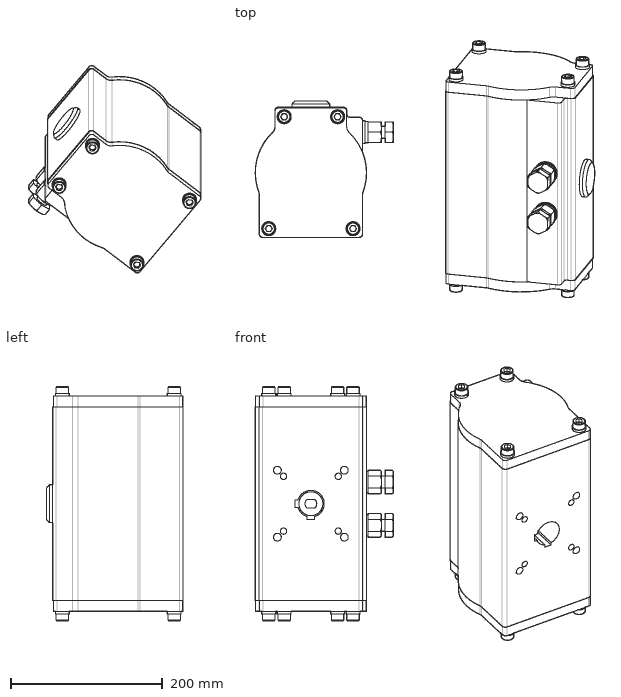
import cadquery as cq
import math


barrel_radius = 73.5
base_half_width = 68.3
base_y = -85.5
neck_half_width = 47.5
cap_top_y = 85.5
case_top_y = 86.5
cap_inset = 0.3
corner_radius = 4.5
neck_blend_radius = 10.2
base_blend_radius = 7.7

total_length = 308.8
capped_length = 284.0
cap_thickness = 14.2
case_length = capped_length - 2 * cap_thickness

ridge_top_y = 73.2
ridge_corner_radius = 4.3
ridge_blend_radius = 3.7

upper_screw_x = 35.2
lower_screw_x = 55.5
screw_y = 73.8
washer_radius = 9.3
washer_thickness = 3.5
screw_head_radius = 8.3
screw_head_height = (total_length - capped_length) / 2
screw_head_chamfer = 1.0
socket_across_corners = 9.3
socket_depth = 5.0
socket_cone_depth = 2.5

gland_spacing = 57.0
gland_y = 53.5
gland_flange_radius = 15.0
gland_collar_radius = 14.2
gland_neck_radius = 8.0
gland_across_flats = 27.2
gland_across_corners = gland_across_flats / math.cos(math.pi / 6)
gland_hex_chamfer = 1.5
gland_flange_end = 71.3
gland_hex_start = 75.5
gland_hex_end = 93.0
gland_nut_start = 98.0
gland_nut_end = 108.7

outer_hole_offset = 44.2
outer_hole_diameter = 10.2
inner_hole_offset = 36.0
inner_hole_diameter = 8.3
mounting_hole_depth = 20.0
drill_point_angle = 118.0

bore_radius = 17.5
bore_depth = 61.8
bore_end_radius = 15.8
bore_end_depth = 68.0
keyway_reach = 20.7
keyway_width = 10.0

indicator_radius = 25.0
indicator_face_radius = 21.0
indicator_rim_y = 90.8
indicator_top_y = 94.8
stem_radius = 7.7
stem_across_flats = 11.7


def mirrored_pair(x, y):
    """The point and its mirror image on the other side of the YZ plane."""
    return [(x, y), (-x, y)]


def fillet_edges_at(solid, points, radius):
    """Round the edges along Z that pass through the given XY points."""
    chosen = cq.Workplane("XY")
    for x, y in points:
        chosen = chosen.add(solid.edges("|Z").edges(cq.selectors.NearestToPointSelector((x, y, 0))))
    return cq.Workplane("XY").add(solid.val().fillet(radius, chosen.vals()))


def block(x_min, x_max, y_min, y_max, length):
    """Rectangular block centred along Z."""
    return cq.Workplane("XY").box(x_max - x_min, y_max - y_min, length).translate(
        ((x_min + x_max) / 2, (y_min + y_max) / 2, 0)
    )


def body_prism(top_y, inset, length):
    """Round barrel with a wide flat base and a narrow neck.

    The inset draws in everything except the top, which lies at top_y.
    """
    radius = barrel_radius - inset
    neck_x = neck_half_width - inset
    base_x = base_half_width - inset
    bottom_y = base_y + inset
    prism = cq.Workplane("XY").circle(radius).extrude(length / 2, both=True)
    prism = prism.union(block(-base_x, base_x, bottom_y, 0, length))
    prism = prism.union(block(-neck_x, neck_x, 0, top_y, length))

    neck_y = math.sqrt(radius**2 - neck_x**2)
    side_y = -math.sqrt(radius**2 - base_x**2)
    prism = fillet_edges_at(prism, mirrored_pair(neck_x, neck_y), neck_blend_radius)
    prism = fillet_edges_at(prism, mirrored_pair(base_x, side_y), base_blend_radius)
    corners = mirrored_pair(neck_x, top_y) + mirrored_pair(base_x, bottom_y)
    return fillet_edges_at(prism, corners, corner_radius)


def terminal_ridge():
    """Square shoulder on the +X side, as long as the case."""
    ridge = block(0, base_half_width, 0, ridge_top_y, case_length)
    return fillet_edges_at(ridge, [(base_half_width, ridge_top_y)], ridge_corner_radius)


def case_and_caps():
    case = body_prism(case_top_y, 0, case_length).union(terminal_ridge())
    case = fillet_edges_at(case, [(neck_half_width, ridge_top_y)], ridge_blend_radius)
    cap = body_prism(cap_top_y, cap_inset, cap_thickness)
    cap_z = (case_length + cap_thickness) / 2
    for z in (-cap_z, cap_z):
        case = case.union(cap.translate((0, 0, z)))
    return case


def cap_screw():
    """Socket head on a washer, standing on Z = 0."""
    head = cq.Workplane("XY").circle(screw_head_radius).extrude(screw_head_height)
    head = head.faces(">Z").chamfer(screw_head_chamfer)
    washer = cq.Workplane("XY").circle(washer_radius).extrude(washer_thickness)
    socket_floor = screw_head_height - socket_depth
    socket = (
        cq.Workplane("XY")
        .workplane(offset=socket_floor)
        .polygon(6, socket_across_corners)
        .extrude(socket_depth)
    )
    socket_cone = cq.Solid.makeCone(
        0,
        socket_across_corners * math.cos(math.pi / 6) / 2,
        socket_cone_depth,
        pnt=cq.Vector(0, 0, socket_floor - socket_cone_depth),
    )
    return head.union(washer).cut(socket).cut(cq.Workplane(socket_cone))


def cap_screws():
    """Four screws on each end cap."""
    top_screw = cap_screw().translate((0, 0, capped_length / 2))
    bottom_screw = top_screw.mirror("XY")
    places = mirrored_pair(upper_screw_x, screw_y) + mirrored_pair(lower_screw_x, -screw_y)
    return [screw.translate((x, y, 0)) for screw in (top_screw, bottom_screw) for x, y in places]


def round_along_x(radius, x_start, x_end):
    return cq.Workplane("YZ").workplane(offset=x_start).circle(radius).extrude(x_end - x_start)


def hexagon_along_x(x_start, x_end):
    """Hexagon with flats facing +Y and -Y and the corners of its outer end turned off."""
    hexagon = (
        cq.Workplane("YZ")
        .workplane(offset=x_start)
        .transformed(rotate=(0, 0, 90))
        .polygon(6, gland_across_corners)
        .extrude(x_end - x_start)
    )
    turned = round_along_x(gland_across_corners / 2, x_start, x_end)
    return hexagon.intersect(turned.faces(">X").chamfer(gland_hex_chamfer))


def cable_gland():
    """Flange, collar, hexagon, neck and clamping nut along +X."""
    return (
        round_along_x(gland_flange_radius, 0, gland_flange_end)
        .union(round_along_x(gland_collar_radius, 0, gland_hex_start))
        .union(hexagon_along_x(gland_hex_start, gland_hex_end))
        .union(round_along_x(gland_neck_radius, gland_hex_end, gland_nut_start))
        .union(hexagon_along_x(gland_nut_start, gland_nut_end))
    )


def cable_glands():
    return [cable_gland().translate((0, gland_y, z)) for z in (-gland_spacing / 2, gland_spacing / 2)]


def base_face():
    """Sketch plane on the base, with local X along X, local Y along Z and its normal along -Y."""
    return cq.Workplane("XZ", origin=(0, base_y, 0))


def mounting_holes(diameter, offset):
    """Four drilled blind holes at the corners of a square around the drive bore."""
    point_depth = diameter / 2 / math.tan(math.radians(drill_point_angle / 2))
    drill_profile = [
        (0, 0),
        (diameter / 2, 0),
        (diameter / 2, mounting_hole_depth),
        (0, mounting_hole_depth + point_depth),
    ]
    drill = cq.Workplane("XY").polyline(drill_profile).close().revolve(360, (0, 0, 0), (0, 1, 0))
    holes = cq.Workplane("XY")
    for x in (-offset, offset):
        for z in (-offset, offset):
            holes = holes.add(drill.translate((x, base_y, z)))
    return holes.combine()


def drive_bore():
    """Stepped blind bore with keyways towards -X and -Z."""
    bore = base_face().circle(bore_radius).extrude(-bore_depth)
    bore = bore.union(base_face().circle(bore_end_radius).extrude(-bore_end_depth))
    keyway_x = base_face().center(-keyway_reach / 2, 0).rect(keyway_reach, keyway_width)
    keyway_z = base_face().center(0, -keyway_reach / 2).rect(keyway_width, keyway_reach)
    for keyway in (keyway_x, keyway_z):
        bore = bore.union(keyway.extrude(-bore_depth))
    return bore


def indicator_stem():
    """Round stem with two flats, from the floor of the drive bore to the top of the case."""
    stem_start = base_y + bore_end_depth
    stem_length = case_top_y - stem_start
    stem = cq.Workplane("XZ", origin=(0, stem_start, 0)).circle(stem_radius).extrude(-stem_length)
    flats = block(-stem_radius, stem_radius, stem_start, case_top_y, stem_across_flats)
    return stem.intersect(flats)


def make_housing():
    housing = case_and_caps()
    for fitting in cap_screws() + cable_glands():
        housing = housing.union(fitting)
    housing = housing.cut(mounting_holes(outer_hole_diameter, outer_hole_offset))
    housing = housing.cut(mounting_holes(inner_hole_diameter, inner_hole_offset))
    return housing.cut(drive_bore()).cut(indicator_stem())


def make_indicator():
    """Bevelled disc on top of the case, carried by its stem."""
    disc_profile = [
        (0, case_top_y),
        (indicator_radius, case_top_y),
        (indicator_radius, indicator_rim_y),
        (indicator_face_radius, indicator_top_y),
        (0, indicator_top_y),
    ]
    disc = cq.Workplane("XY").polyline(disc_profile).close().revolve(360, (0, 0, 0), (0, 1, 0))
    return disc.union(indicator_stem())


housing = make_housing()
indicator = make_indicator()

result = cq.Compound.makeCompound([housing.val(), indicator.val()])